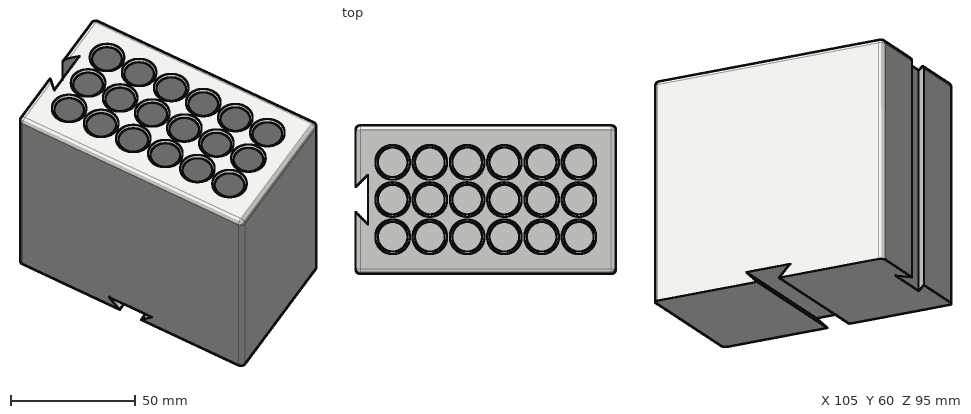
import cadquery as cq

length = 105.0
width = 60.0
height = 95.0
edge_radius = 2.0

columns = 6
rows = 3
pitch = 15.0
hole_diameter = 12.0
rim_diameter = 14.0
rim_chamfer = (rim_diameter - hole_diameter) / 2
rim_angle = 45
floor_thickness = 10.0
hole_depth = height - floor_thickness

slot_mouth = 10.0
slot_base = 20.0
slot_depth = 5.0


def rounded_block():
    """Block with rounded vertical and top edges and a sharp bottom."""
    block = cq.Workplane("XY").box(length, width, height, centered=(True, True, False))
    return block.edges("|Z or >Z").fillet(edge_radius)


def tube_holes():
    """Grid of blind holes, each with a conical lead-in at the top."""
    hole = (
        cq.Workplane("XY")
        .workplane(offset=floor_thickness)
        .circle(hole_diameter / 2)
        .extrude(hole_depth)
    )
    lead_in = (
        cq.Workplane("XY")
        .workplane(offset=height)
        .circle(rim_diameter / 2)
        .extrude(-rim_chamfer, taper=rim_angle)
    )
    cutter = hole.union(lead_in).val()
    return (
        cq.Workplane("XY")
        .rarray(pitch, pitch, columns, rows)
        .eachpoint(lambda place: cutter.moved(place), combine=False)
    )


def dovetail(plane, run):
    """Dovetail bar on a plane whose local Y axis points into the block."""
    return (
        cq.Workplane(plane)
        .polyline([
            (-slot_mouth / 2, 0),
            (slot_mouth / 2, 0),
            (slot_base / 2, slot_depth),
            (-slot_base / 2, slot_depth),
        ])
        .close()
        .extrude(run)
    )


bottom_plane = cq.Plane(origin=(0, width / 2, 0), xDir=(1, 0, 0), normal=(0, -1, 0))
side_plane = cq.Plane(origin=(-length / 2, 0, 0), xDir=(0, -1, 0), normal=(0, 0, 1))

result = (
    rounded_block()
    .cut(tube_holes())
    .cut(dovetail(bottom_plane, width))
    .cut(dovetail(side_plane, height))
)